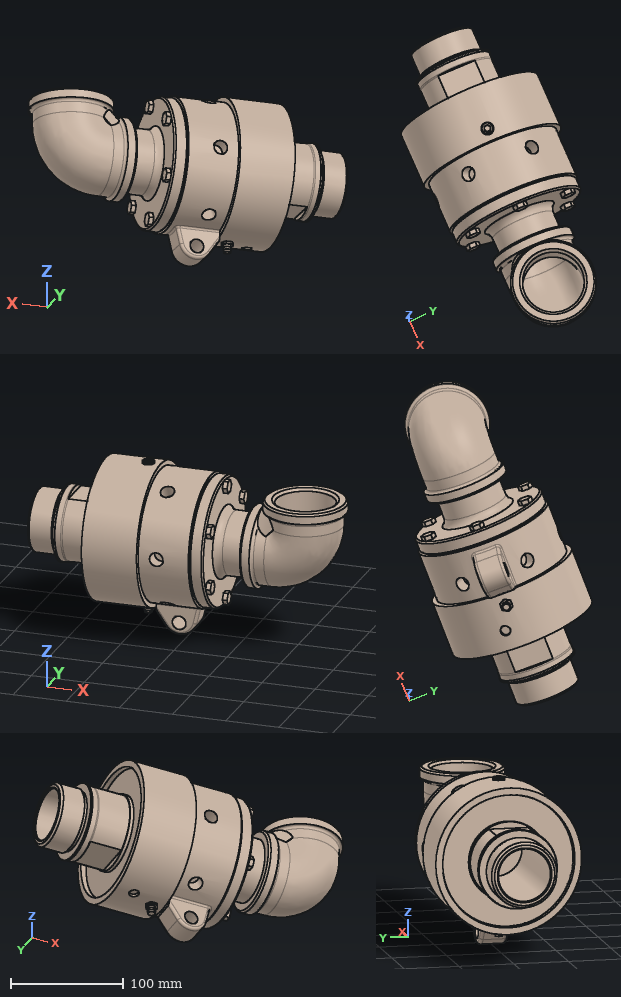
import cadquery as cq
import math


spigot_d = 59.61
spigot_tip_d = 54.88
spigot_chamfer_length = 2.0
spigot_end_x = 23.8
relief_d = 56.0
relief_chamfer = 0.8
collar_d = 71.4
collar_start_x = 26.3
collar_lip_width = 1.8
collar_land_d = 70.3
collar_land_end_x = 33.4
shaft_d = 69.5
flats_start_x = 34.7
flats_end_x = 65.4
flats_width = 59.61
spigot_bore_d = 47.6
spigot_bore_chamfer = 1.0

drum_d = 133.4
drum_start_x = 63.9
drum_end_x = 115.7
recess_d = 120.7
recess_depth = 5.0
plate_d = 120.14
plate_gap_depth = 2.0
housing_d = 123.8
housing_end_x = 162.8
flange_d = 120.7
flange_end_x = 175.9
flange_chamfer = 1.6

radial_hole_d = 12.7
radial_hole_depth = 14.0
radial_hole_count = 6
radial_hole_x = 132.7

bolt_count = 6
bolt_circle_d = 106.4
bolt_head_corners = 12.7
bolt_head_height = 4.4

fitting_x = 104.2
fitting_root = 4.0
plug_d = 11.0
plug_height = 2.03
plug_chamfer = 0.6
plug_socket_corners = 6.35
plug_socket_depth = 1.5
nipple_hex_corners = 11.6
nipple_hex_height = 1.8
nipple_neck_d = 6.6
nipple_head_d = 7.2
nipple_tip_d = 6.35
nipple_neck_end = 4.2
nipple_head_end = 6.6
nipple_height = 8.8

weep_d = 9.0
weep_depth = 3.0
weep_x = 82.2
weep_angle = 8.0

lug_width = 25.4
lug_center_x = 137.6
lug_center_z = -73.2
lug_radius = 15.9
lug_left_slope = 55.0
lug_right_slope = 76.8
lug_edge_fillet = 2.8
lug_root_fillet = 2.0
lug_root_z = -58.0
lug_hole_d = 12.7
lug_hole_x = 137.4
lug_hole_z = -77.5

neck_d = 59.2
neck_fillet = 9.5
neck_fillet_end_x = 183.7
outlet_x = 252.0
elbow_reach = 49.7
bend_radius = 27.7
elbow_d = 69.5
elbow_rim_d = 76.2
elbow_rim_width = 9.5
elbow_rim_chamfer = 1.8
elbow_rim_fillet = 2.75
elbow_bore_d = 54.88
outlet_chamfer_d = 60.0
web_half_width = 7.5
web_crown = (55.0, 0.0)
web_shoulder = (46.2, 21.0)
web_foot = (34.6, 27.7)

select_margin = 0.5


def turned(sketch):
    """Revolve a closed half outline, drawn in the XY plane, around the X axis."""
    return sketch.close().revolve(360, (0, 0, 0), (1, 0, 0))


def disc(diameter, start_x, end_x):
    """A cylinder on the X axis."""
    return cq.Workplane("YZ", origin=(start_x, 0, 0)).circle(diameter / 2).extrude(end_x - start_x)


def make_shaft():
    lip_end_x = collar_start_x + collar_lip_width
    outline = (
        cq.Workplane("XY")
        .moveTo(0, 0)
        .lineTo(0, spigot_tip_d / 2)
        .lineTo(spigot_chamfer_length, spigot_d / 2)
        .lineTo(spigot_end_x - relief_chamfer, spigot_d / 2)
        .lineTo(spigot_end_x, relief_d / 2)
        .lineTo(collar_start_x, relief_d / 2)
        .lineTo(collar_start_x, collar_d / 2)
        .lineTo(lip_end_x, collar_d / 2)
        .lineTo(lip_end_x, collar_land_d / 2)
        .lineTo(collar_land_end_x, collar_land_d / 2)
        .lineTo(flats_start_x, shaft_d / 2)
        .lineTo(flats_end_x, shaft_d / 2)
        .lineTo(flats_end_x, collar_d / 2)
        .lineTo(drum_end_x, collar_d / 2)
        .lineTo(drum_end_x, 0)
    )
    shaft = turned(outline)
    flats_length = flats_end_x - flats_start_x
    flats_center_x = (flats_start_x + flats_end_x) / 2
    cut_height = collar_d
    for side in (1, -1):
        cutter = cq.Workplane("XY").box(flats_length, collar_d, cut_height)
        cut_z = side * (flats_width + cut_height) / 2
        shaft = shaft.cut(cutter.translate((flats_center_x, 0, cut_z)))
    return shaft


def make_spigot_bore():
    bore_r = spigot_bore_d / 2
    outline = (
        cq.Workplane("XY")
        .moveTo(0, 0)
        .lineTo(0, bore_r + spigot_bore_chamfer)
        .lineTo(spigot_bore_chamfer, bore_r)
        .lineTo(drum_end_x, bore_r)
        .lineTo(drum_end_x, 0)
    )
    return turned(outline)


def make_lug():
    left = math.radians(lug_left_slope)
    right = math.radians(lug_right_slope)
    left_touch = (
        lug_center_x - lug_radius * math.sin(left),
        lug_center_z - lug_radius * math.cos(left),
    )
    right_touch = (
        lug_center_x + lug_radius * math.sin(right),
        lug_center_z - lug_radius * math.cos(right),
    )
    left_corner_z = left_touch[1] + (left_touch[0] - drum_end_x) * math.tan(left)
    right_top_x = right_touch[0] + (lug_root_z - right_touch[1]) / math.tan(right)
    lug = (
        cq.Workplane("XZ")
        .moveTo(drum_end_x, lug_root_z)
        .lineTo(drum_end_x, left_corner_z)
        .lineTo(*left_touch)
        .threePointArc((lug_center_x, lug_center_z - lug_radius), right_touch)
        .lineTo(right_top_x, lug_root_z)
        .close()
        .extrude(lug_width / 2, both=True)
    )
    rim = cq.selectors.BoxSelector(
        (drum_end_x + select_margin, -lug_width, lug_center_z - 2 * lug_radius),
        (right_top_x, lug_width, lug_root_z - select_margin),
    )
    lug = lug.faces("<Y or >Y").edges(rim).fillet(lug_edge_fillet)
    hole = cq.Workplane("XZ").center(lug_hole_x, lug_hole_z).circle(lug_hole_d / 2)
    return lug.cut(hole.extrude(lug_width, both=True))


def make_housing():
    """The housing with its lug, blended along their joint."""
    housing = disc(housing_d, drum_end_x, housing_end_x).union(make_lug())
    joint_zone = cq.selectors.BoxSelector(
        (drum_end_x + select_margin, -lug_width, -housing_d / 2 - select_margin),
        (housing_end_x - select_margin, lug_width, lug_root_z),
    )
    return housing.edges(joint_zone).fillet(lug_root_fillet)


def make_body():
    recess_x = drum_start_x + recess_depth
    drum = disc(drum_d, drum_start_x, drum_end_x)
    drum = drum.cut(disc(recess_d, drum_start_x, recess_x + plate_gap_depth))
    plate = disc(plate_d, recess_x, drum_end_x)
    flange = disc(flange_d, housing_end_x, flange_end_x).edges().chamfer(flange_chamfer)
    return drum.union(plate).union(make_housing()).union(flange)


def cut_radial_holes(body):
    for index in range(radial_hole_count):
        hole = (
            cq.Workplane("XY", origin=(radial_hole_x, 0, housing_d / 2 - radial_hole_depth))
            .circle(radial_hole_d / 2)
            .extrude(2 * radial_hole_depth)
        )
        angle = 360 / radial_hole_count * (index + 0.5)
        body = body.cut(hole.rotate((0, 0, 0), (1, 0, 0), angle))
    return body


def cut_weep_hole(body):
    hole = (
        cq.Workplane("XY", origin=(weep_x, 0, -drum_d / 2 - weep_depth))
        .circle(weep_d / 2)
        .extrude(2 * weep_depth)
    )
    return body.cut(hole.rotate((0, 0, 0), (1, 0, 0), -weep_angle))


def make_bolt_heads():
    heads = cq.Workplane("YZ", origin=(flange_end_x, 0, 0))
    heads = heads.polarArray(bolt_circle_d / 2, 90, 360, bolt_count, rotate=False)
    return heads.polygon(6, bolt_head_corners).extrude(bolt_head_height)


def make_plug():
    base_z = drum_d / 2 - fitting_root
    plug = cq.Workplane("XY", origin=(fitting_x, 0, base_z)).circle(plug_d / 2)
    plug = plug.extrude(fitting_root + plug_height).faces(">Z").chamfer(plug_chamfer)
    socket = cq.Workplane("XY").polygon(6, plug_socket_corners).extrude(plug_socket_depth)
    socket = socket.rotate((0, 0, 0), (0, 0, 1), 90)
    return plug.cut(socket.translate((fitting_x, 0, drum_d / 2 + plug_height - plug_socket_depth)))


def make_nipple():
    def below_drum(height):
        return cq.Workplane("XY", origin=(fitting_x, 0, -drum_d / 2 - height))

    nipple = below_drum(nipple_hex_height).polygon(6, nipple_hex_corners)
    nipple = nipple.extrude(fitting_root + nipple_hex_height)
    steps = (
        (nipple_neck_d, nipple_hex_height, nipple_neck_end),
        (nipple_head_d, nipple_neck_end, nipple_head_end),
        (nipple_tip_d, nipple_head_end, nipple_height),
    )
    for diameter, start, end in steps:
        nipple = nipple.union(below_drum(end).circle(diameter / 2).extrude(end - start))
    return nipple


def make_neck():
    neck_r = neck_d / 2
    fillet_run = neck_fillet_end_x - flange_end_x
    fillet_center_r = neck_r + neck_fillet

    def fillet_r(run):
        return fillet_center_r - math.sqrt(neck_fillet**2 - run**2)

    outline = (
        cq.Workplane("XY")
        .moveTo(flange_end_x, 0)
        .lineTo(flange_end_x, fillet_r(fillet_run))
        .threePointArc(
            (neck_fillet_end_x - fillet_run / 2, fillet_r(fillet_run / 2)),
            (neck_fillet_end_x, neck_r),
        )
        .lineTo(outlet_x - elbow_reach, neck_r)
        .lineTo(outlet_x - elbow_reach, 0)
    )
    return turned(outline)


def make_elbow_leg():
    """The inlet leg, from its rim to the start of the bend, along +X."""
    start_x = outlet_x - elbow_reach
    rim_end_x = start_x + elbow_rim_width
    pipe_r = elbow_d / 2
    rim_r = elbow_rim_d / 2
    fillet_mid = elbow_rim_fillet * (1 - math.sqrt(0.5))
    outline = (
        cq.Workplane("XY")
        .moveTo(start_x, 0)
        .lineTo(start_x, rim_r - elbow_rim_chamfer)
        .lineTo(start_x + elbow_rim_chamfer, rim_r)
        .lineTo(rim_end_x, rim_r)
        .lineTo(rim_end_x, pipe_r + elbow_rim_fillet)
        .threePointArc(
            (rim_end_x + fillet_mid, pipe_r + fillet_mid),
            (rim_end_x + elbow_rim_fillet, pipe_r),
        )
        .lineTo(outlet_x - bend_radius, pipe_r)
        .lineTo(outlet_x - bend_radius, 0)
    )
    return turned(outline)


def bend(section):
    """Sweep a section, drawn where the bend starts, through the quarter turn from +X up to +Z."""
    return section.revolve(90, (bend_radius, 0, 0), (bend_radius, 1, 0))


def make_web():
    """The web filling the inner corner of the elbow, straight across the mitre between its legs."""
    mitre = cq.Plane(origin=(outlet_x, 0, 0), xDir=(-1, 0, 1), normal=(1, 0, 1))
    shoulder_reach, shoulder_y = web_shoulder
    foot_reach, foot_y = web_foot
    crest = [
        (shoulder_reach, -shoulder_y),
        web_crown,
        web_shoulder,
        web_foot,
    ]
    outline = cq.Workplane(mitre).workplane(offset=-web_half_width).moveTo(foot_reach, -foot_y)
    return outline.spline(crest, includeCurrent=True).close().extrude(2 * web_half_width)


def make_elbow():
    bend_start_x = outlet_x - bend_radius
    leg = make_elbow_leg()
    outlet_leg = leg.rotate((outlet_x, 0, 0), (outlet_x - 1, 0, 1), 180)
    start_plane = cq.Plane(origin=(bend_start_x, 0, 0), xDir=(0, 0, 1), normal=(1, 0, 0))
    pipe_r = elbow_d / 2
    axis_half_chord = math.sqrt(pipe_r**2 - bend_radius**2)
    section = (
        cq.Workplane(start_plane)
        .moveTo(bend_radius, axis_half_chord)
        .threePointArc((-pipe_r, 0), (bend_radius, -axis_half_chord))
        .close()
    )
    elbow = leg.union(outlet_leg).union(bend(section)).union(make_web())

    bore = disc(elbow_bore_d, outlet_x - elbow_reach, bend_start_x)
    bore = bore.union(bend(cq.Workplane(start_plane).circle(elbow_bore_d / 2)))
    outlet_bore = cq.Workplane("XY", origin=(outlet_x, 0, bend_radius)).circle(elbow_bore_d / 2)
    outlet_bore = outlet_bore.extrude(elbow_reach - bend_radius)
    outlet_bore = outlet_bore.faces(">Z").workplane().circle(outlet_chamfer_d / 2)
    chamfer_depth = (outlet_chamfer_d - elbow_bore_d) / 2
    outlet_bore = outlet_bore.extrude(-chamfer_depth, taper=45)
    return elbow.cut(bore).cut(outlet_bore)


body = cut_weep_hole(cut_radial_holes(make_body()))
result = (
    body.union(make_shaft())
    .cut(make_spigot_bore())
    .union(make_plug())
    .union(make_nipple())
    .union(make_neck())
    .union(make_bolt_heads())
    .union(make_elbow())
)